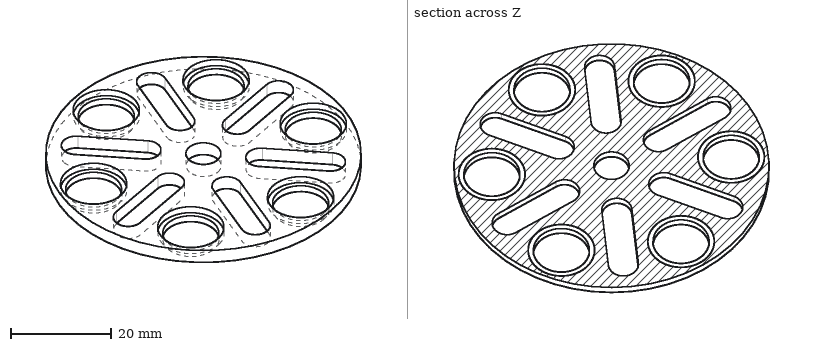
import cadquery as cq

disc_diameter = 63.0
thickness = 3.0
center_hole_diameter = 7.0

spoke_count = 6
spoke_angle = 360.0 / spoke_count
hole_circle_radius = 24.0
hole_diameter = 11.2
counterbore_diameter = 13.2
counterbore_depth = 1.5

slot_length = 20.0
slot_width = 5.9
slot_center_radius = 18.5


def make_disc():
    """Flat disc with its central through hole, resting on Z = 0."""
    disc = cq.Workplane("XY").circle(disc_diameter / 2).extrude(thickness)
    return disc.faces(">Z").workplane().hole(center_hole_diameter)


def cut_stepped_holes(body):
    """Ring of through holes counterbored from the top face."""
    return (
        body.faces(">Z")
        .workplane(origin=(0, 0, thickness))
        .polarArray(hole_circle_radius, 0, 360, spoke_count)
        .cboreHole(hole_diameter, counterbore_diameter, counterbore_depth)
    )


def cut_radial_slots(body):
    """Ring of round-ended through slots pointing at the disc axis."""
    slots = (
        cq.Workplane("XY")
        .polarArray(slot_center_radius, spoke_angle / 2, 360, spoke_count)
        .slot2D(slot_length, slot_width)
        .extrude(thickness)
    )
    return body.cut(slots)


result = cut_radial_slots(cut_stepped_holes(make_disc()))